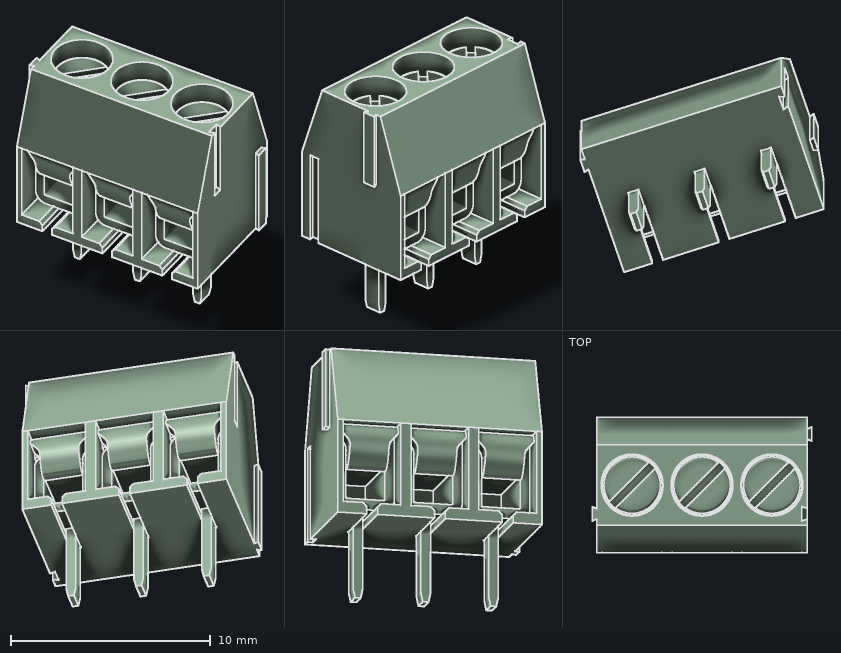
import cadquery as cq
import math


pole_count = 3
pole_pitch = 3.5

overall_width = 11.0
housing_width = 10.54
housing_depth = 6.8
housing_height = 8.8
housing_top_depth = 4.02
shoulder_height = 4.8

dovetail_tip_width = 0.72
dovetail_root_width = 0.53
groove_depth = 0.29
front_rib_y = -1.44
rear_rib_y = 2.55

cavity_width = 2.98
floor_thickness = 0.57
leg_slot_width = 0.56
leg_slot_chamfer = 0.19

cage_depth = 4.02
cage_side_wall = 0.48
cage_bottom_wall = 0.53
cage_layer_thickness = 0.5
cage_lap_height = 4.1
cage_inner_radius = 0.07

leg_width = 0.5
leg_depth = 0.93
leg_length = 3.6
leg_tip_width = 0.3
leg_tip_height = 0.45

screw_bore_diameter = 3.1
screw_head_diameter = 3.0
screw_head_height = 0.99
screw_face_diameter = 2.48
screw_crown_width = 0.17
screw_crown_angle = 65
screw_recess = 0.94
screw_shank_diameter = 1.6
screw_slot_width = 0.45
screw_slot_depth = 0.41
screw_slot_angle = 45

guard_front_y = -2.91
guard_bottom = 2.59
guard_face_radius = 2.0
guard_edge_radius = 0.41
guard_upper_angle = 13
guard_taper_top = 4.38
guard_taper_bottom = 3.83
guard_taper_fillet = 0.5
guard_tongue_bottom = 2.83
guard_tongue_thickness = 0.5

pole_xs = [(i - (pole_count - 1) / 2) * pole_pitch for i in range(pole_count)]
housing_front = -housing_depth / 2
rib_height = (overall_width - housing_width) / 2
cage_front = -cage_depth / 2
cage_outer_radius = cage_inner_radius + cage_side_wall
cage_top = cage_lap_height + cage_layer_thickness
cage_inner_bottom = floor_thickness + cage_bottom_wall
cage_inner_top = cage_lap_height - cage_layer_thickness
cage_inner_width = cavity_width - 2 * cage_side_wall
leg_slot_back = leg_depth / 2 + (leg_slot_width - leg_width) / 2
screw_top = housing_height - screw_recess
screw_seat = screw_top - screw_head_height
guard_tongue_top = guard_tongue_bottom + guard_tongue_thickness


def box(width, y_range, z_range):
    """A block centred on X = 0 that spans the given Y and Z ranges."""
    (y0, y1), (z0, z1) = y_range, z_range
    return (
        cq.Workplane("XY")
        .box(width, y1 - y0, z1 - z0, centered=(True, False, False))
        .translate((0, y0, z0))
    )


def cylinder(diameter, bottom, top):
    """An upright cylinder on the Z axis."""
    return cq.Workplane("XY", origin=(0, 0, bottom)).circle(diameter / 2).extrude(top - bottom)


def housing_shell():
    half_depth = housing_depth / 2
    half_top = housing_top_depth / 2
    outline = [
        (-half_depth, 0),
        (half_depth, 0),
        (half_depth, shoulder_height),
        (half_top, housing_height),
        (-half_top, housing_height),
        (-half_depth, shoulder_height),
    ]
    return cq.Workplane("YZ").polyline(outline).close().extrude(housing_width / 2, both=True)


def dovetail(wall_x, y, reach, z_range):
    """An upright dovetail that widens from the wall at wall_x to its tip, `reach` away along X."""
    z0, z1 = z_range
    half_root = dovetail_root_width / 2
    half_tip = dovetail_tip_width / 2
    outline = [
        (wall_x, y - half_root),
        (wall_x + reach, y - half_tip),
        (wall_x + reach, y + half_tip),
        (wall_x, y + half_root),
    ]
    return cq.Workplane("XY", origin=(0, 0, z0)).polyline(outline).close().extrude(z1 - z0)


def leg_slot():
    """Slot through the cavity floor, open at the front, with bevelled upper edges."""
    half_width = leg_slot_width / 2
    bevel_bottom = floor_thickness - leg_slot_chamfer
    outline = [
        (-half_width, 0),
        (half_width, 0),
        (half_width, bevel_bottom),
        (half_width + leg_slot_chamfer, floor_thickness),
        (-half_width - leg_slot_chamfer, floor_thickness),
        (-half_width, bevel_bottom),
    ]
    length = leg_slot_back - housing_front
    return (
        cq.Workplane("XZ", origin=(0, housing_front, 0)).polyline(outline).close().extrude(-length)
    )


def pole_cutout():
    """Wire cavity, leg slot and stepped screw bore of one pole."""
    cavity = box(cavity_width, (housing_front, -cage_front), (floor_thickness, shoulder_height))
    head_bore = cylinder(screw_bore_diameter, screw_seat, housing_height)
    shank_bore = cylinder(screw_shank_diameter, shoulder_height, screw_seat)
    return cavity.union(leg_slot()).union(head_bore).union(shank_bore)


def make_housing():
    """Shell with a rib on each side and, opposite each rib, a groove for the next block's rib."""
    side = housing_width / 2
    lower = (0, shoulder_height)
    upper = (shoulder_height, housing_height)
    body = housing_shell()
    body = body.union(dovetail(-side, front_rib_y, -rib_height, upper))
    body = body.union(dovetail(side, rear_rib_y, rib_height, lower))
    body = body.cut(dovetail(side, front_rib_y, -groove_depth, upper))
    body = body.cut(dovetail(-side, rear_rib_y, groove_depth, lower))
    for x in pole_xs:
        body = body.cut(pole_cutout().translate((x, 0, 0)))
    return body


def cage():
    """Strip bent into a ring; its upper end laps over the rounded left top corner."""
    y_range = (cage_front, -cage_front)
    ring = box(cavity_width, y_range, (floor_thickness, cage_lap_height))
    ring = ring.edges("|Y and (<Z or <X)").fillet(cage_outer_radius)
    lap = box(cavity_width, y_range, (cage_lap_height, cage_top))
    opening = box(cage_inner_width, y_range, (cage_inner_bottom, cage_inner_top))
    opening = opening.edges("|Y").fillet(cage_inner_radius)
    return (
        ring.union(lap)
        .cut(opening)
        .cut(cylinder(screw_shank_diameter, cage_inner_top, cage_top))
    )


def leg():
    half_width = leg_width / 2
    half_tip = leg_tip_width / 2
    tip_start = leg_tip_height - leg_length
    outline = [
        (-half_width, floor_thickness),
        (-half_width, tip_start),
        (-half_tip, -leg_length),
        (half_tip, -leg_length),
        (half_width, tip_start),
        (half_width, floor_thickness),
    ]
    return cq.Workplane("XZ").polyline(outline).close().extrude(leg_depth / 2, both=True)


def make_terminal(x):
    return cage().union(leg()).translate((x, 0, 0))


def screw_head():
    """Flat face, rounded crown and slightly drafted side, turned about the Z axis."""
    face_radius = screw_face_diameter / 2
    crown_radius = screw_crown_width / math.sin(math.radians(screw_crown_angle))

    def crown_point(angle):
        """Point (r, z) on the crown where it has turned by `angle` from flat."""
        a = math.radians(angle)
        return (face_radius + crown_radius * math.sin(a), screw_top - crown_radius * (1 - math.cos(a)))

    return (
        cq.Workplane("XZ")
        .moveTo(0, screw_seat)
        .lineTo(0, screw_top)
        .lineTo(face_radius, screw_top)
        .threePointArc(crown_point(screw_crown_angle / 2), crown_point(screw_crown_angle))
        .lineTo(screw_head_diameter / 2, screw_seat)
        .close()
        .revolve()
    )


def make_screw(x):
    shank = cylinder(screw_shank_diameter, guard_tongue_top, screw_seat)
    half_slot = screw_head_diameter / 2
    slot = box(screw_slot_width, (-half_slot, half_slot), (screw_top - screw_slot_depth, screw_top))
    slot = slot.rotate((0, 0, 0), (0, 0, 1), -screw_slot_angle)
    return screw_head().union(shank).cut(slot).translate((x, 0, 0))


def on_arc(center, radius, angle):
    """Point (y, z) on a front-facing arc, `angle` degrees above the -Y direction."""
    y, z = center
    a = math.radians(angle)
    return (y - radius * math.cos(a), z + radius * math.sin(a))


def guard_plate():
    """Plate in front of the cage: bulged face with rounded top and bottom edges."""
    inset = guard_face_radius - guard_edge_radius
    upper = guard_upper_angle
    top_rise = inset * math.sin(math.radians(upper)) + guard_edge_radius
    face_center = (guard_front_y + guard_face_radius, shoulder_height - top_rise)
    bottom_drop = face_center[1] - guard_bottom - guard_edge_radius
    lower = -math.degrees(math.asin(bottom_drop / inset))
    top_center = on_arc(face_center, inset, upper)
    bottom_center = on_arc(face_center, inset, lower)
    profile = (
        cq.Workplane("YZ")
        .moveTo(cage_front, shoulder_height)
        .lineTo(*on_arc(top_center, guard_edge_radius, 90))
        .threePointArc(
            on_arc(top_center, guard_edge_radius, (90 + upper) / 2),
            on_arc(top_center, guard_edge_radius, upper),
        )
        .threePointArc(
            on_arc(face_center, guard_face_radius, (upper + lower) / 2),
            on_arc(face_center, guard_face_radius, lower),
        )
        .threePointArc(
            on_arc(bottom_center, guard_edge_radius, (lower - 90) / 2),
            on_arc(bottom_center, guard_edge_radius, -90),
        )
        .lineTo(cage_front, guard_bottom)
        .close()
    )
    return profile.extrude(cavity_width / 2, both=True).intersect(guard_front_outline())


def guard_front_outline():
    """Wide at the top, tapering to the inner width of the cage."""
    wide = cavity_width / 2
    narrow = cage_inner_width / 2
    outline = [
        (-wide, shoulder_height),
        (-wide, guard_taper_top),
        (-narrow, guard_taper_bottom),
        (-narrow, guard_bottom),
        (narrow, guard_bottom),
        (narrow, guard_taper_bottom),
        (wide, guard_taper_top),
        (wide, shoulder_height),
    ]
    plate = (
        cq.Workplane("XZ", origin=(0, cage_front, 0))
        .polyline(outline)
        .close()
        .extrude(cage_front - guard_front_y)
    )
    margin = 0.01
    taper_ends = cq.selectors.BoxSelector(
        (-narrow - margin, guard_front_y, guard_taper_bottom - margin),
        (narrow + margin, cage_front, guard_taper_bottom + margin),
    )
    return plate.edges("|Y").edges(taper_ends).fillet(guard_taper_fillet)


def make_guard(x):
    """Bulged plate with a tongue that runs back through the cage under the screw."""
    tongue = box(cage_inner_width, (cage_front, -cage_front), (guard_tongue_bottom, guard_tongue_top))
    return guard_plate().union(tongue).translate((x, 0, 0))


housing = make_housing()
terminals = [make_terminal(x) for x in pole_xs]
screws = [make_screw(x) for x in pole_xs]
guards = [make_guard(x) for x in pole_xs]

result = cq.Compound.makeCompound([body.val() for body in [housing, *terminals, *screws, *guards]])